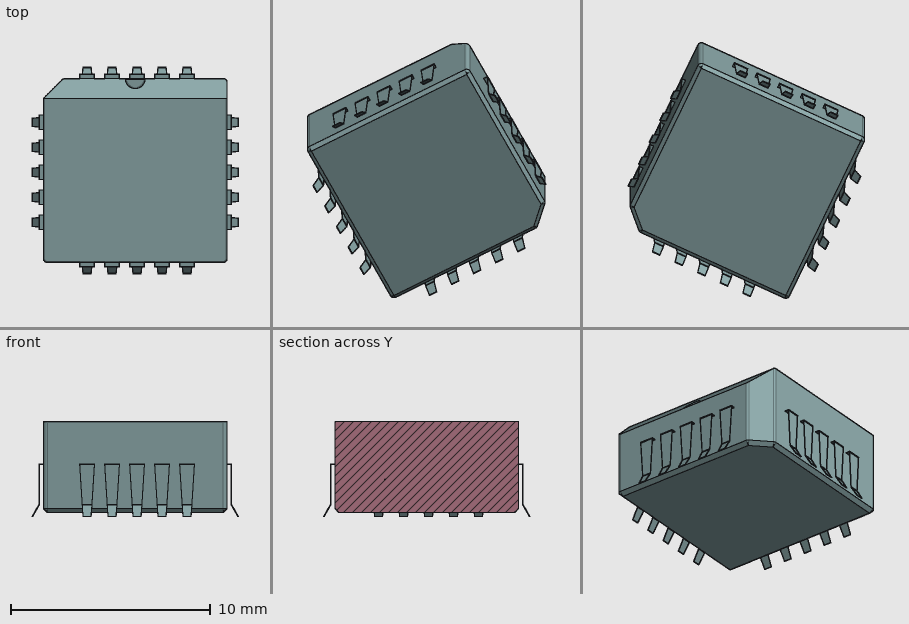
import cadquery as cq
import math

span = 10.34
total_height = 4.77

body_size = 9.2
body_bottom = 0.2
slope_size = 1.0
corner_cut = 1.0
corner_radius = 0.2
top_edge_radius = 0.05
bottom_chamfer = 0.2

mark_radius = 0.5
mark_floor_radius = 0.05
mark_floor_rise = 0.05

leads_per_side = 5
lead_pitch = 1.25
row_shift_x = 0.09
row_shift_y = -0.09
lead_thickness = 0.03
lead_top = 2.63
lead_bend_height = 0.6
lead_foot_angle = 30.0
lead_top_width = 0.74
lead_tip_width = 0.41

half_body = body_size / 2
half_span = span / 2
slope_foot = total_height - slope_size


def make_body():
    """Rounded square block with a cut corner, a sloped +Y top edge and softened rims."""
    body = (
        cq.Workplane("XY")
        .workplane(offset=body_bottom)
        .moveTo(-half_body, -half_body)
        .lineTo(half_body, -half_body)
        .lineTo(half_body, half_body)
        .lineTo(-half_body + corner_cut, half_body)
        .lineTo(-half_body, half_body - corner_cut)
        .close()
        .extrude(total_height - body_bottom)
        .edges("|Z")
        .fillet(corner_radius)
    )
    body = body.faces("<Z").chamfer(bottom_chamfer)
    body = body.faces(">Z").edges().fillet(top_edge_radius)
    slope = (
        cq.Workplane("YZ")
        .moveTo(half_body, slope_foot)
        .lineTo(half_body, total_height)
        .lineTo(half_body - slope_size, total_height)
        .close()
        .extrude(half_body, both=True)
    )
    return body.cut(slope)


def make_index_mark():
    """Upright round cutter with a rounded lower rim; its flat floor lies just above the foot of the slope."""
    return (
        cq.Workplane("XY")
        .workplane(offset=slope_foot + mark_floor_rise)
        .center(0, half_body)
        .circle(mark_radius)
        .extrude(slope_size)
        .faces("<Z")
        .edges()
        .fillet(mark_floor_radius)
    )


def make_lead():
    """One lead on the -Y side, centred on x = 0: short arm, upright shank and splayed foot."""
    angle = math.radians(lead_foot_angle)
    tip_run = lead_thickness / math.cos(angle)
    shank_outer = -half_span + lead_bend_height * math.tan(angle)
    shank_inner = shank_outer + lead_thickness
    inner_bend = lead_bend_height - (tip_run - lead_thickness) / math.tan(angle)
    strip = (
        cq.Workplane("YZ")
        .moveTo(-half_body, lead_top)
        .lineTo(shank_outer, lead_top)
        .lineTo(shank_outer, lead_bend_height)
        .lineTo(-half_span, 0)
        .lineTo(-half_span + tip_run, 0)
        .lineTo(shank_inner, inner_bend)
        .lineTo(shank_inner, lead_top - lead_thickness)
        .lineTo(-half_body, lead_top - lead_thickness)
        .close()
        .extrude(lead_top_width / 2, both=True)
    )
    taper = (
        cq.Workplane("XZ")
        .moveTo(-lead_tip_width / 2, 0)
        .lineTo(lead_tip_width / 2, 0)
        .lineTo(lead_top_width / 2, lead_top)
        .lineTo(-lead_top_width / 2, lead_top)
        .close()
        .extrude(half_span)
    )
    return strip.intersect(taper)


def make_all_leads():
    """A row of leads on each of the four sides; opposite rows share the same shift."""
    lead = make_lead()
    leads = []
    first_offset = -lead_pitch * (leads_per_side - 1) / 2
    for index in range(leads_per_side):
        offset = first_offset + index * lead_pitch
        along_x = (offset + row_shift_x, 0, 0)
        along_y = (0, offset + row_shift_y, 0)
        for turn, place in ((0, along_x), (90, along_y), (180, along_x), (270, along_y)):
            turned = lead.rotate((0, 0, 0), (0, 0, 1), turn)
            leads.append(turned.translate(place))
    return leads


result = make_body().cut(make_index_mark())
for placed_lead in make_all_leads():
    result = result.union(placed_lead)